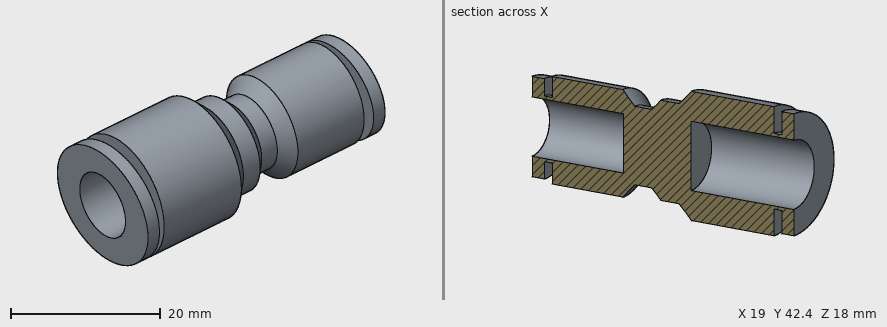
import cadquery as cq

length = 42.4

large_body_dia = 18.0
large_neck_dia = 10.6
step_dia = 14.0
waist_dia = 11.0
small_body_dia = 15.0
small_neck_dia = 9.2
large_bore_dia = 9.6
small_bore_dia = 8.2

large_collar_width = 19.0
large_collar_height = 17.0
small_collar_width = 16.03
small_collar_height = 14.0

collar_thickness = 2.0
neck_length = 1.25
large_body_length = 13.4
step_length = 2.93
waist_length = 2.7
small_body_length = 11.5

large_cone_length = (large_body_dia - step_dia) / 2
step_cone_length = (step_dia - waist_dia) / 2

large_bore_depth = collar_thickness + neck_length + large_body_length
small_bore_depth = collar_thickness + neck_length + small_body_length

large_body_start = collar_thickness + neck_length
large_body_end = large_body_start + large_body_length
step_start = large_body_end + large_cone_length
step_end = step_start + step_length
waist_start = step_end + step_cone_length
waist_end = waist_start + waist_length
small_body_end = length - collar_thickness - neck_length
small_body_start = small_body_end - small_body_length


def plane_at(y):
    """Plane across the axis at station y, facing +Y."""
    return cq.Workplane(cq.Plane(origin=(0, y, 0), xDir=(1, 0, 0), normal=(0, 1, 0)))


def make_turned_body():
    """Revolve the necks, bodies, cones and waist about the Y axis."""
    stations = [
        (large_neck_dia, collar_thickness),
        (large_neck_dia, large_body_start),
        (large_body_dia, large_body_start),
        (large_body_dia, large_body_end),
        (step_dia, step_start),
        (step_dia, step_end),
        (waist_dia, waist_start),
        (waist_dia, waist_end),
        (small_body_dia, small_body_start),
        (small_body_dia, small_body_end),
        (small_neck_dia, small_body_end),
        (small_neck_dia, length - collar_thickness),
    ]
    outline = [(0, collar_thickness)]
    outline += [(diameter / 2, y) for diameter, y in stations]
    outline += [(0, length - collar_thickness)]
    return cq.Workplane("XY").polyline(outline).close().revolve(360, (0, 0, 0), (0, 1, 0))


def make_collar(width, height, y):
    """Elliptical collar whose front face lies at station y."""
    return plane_at(y).ellipse(width / 2, height / 2).extrude(collar_thickness)


def make_bore(diameter, depth, y):
    """Cylinder to cut, reaching from station y towards +Y."""
    return plane_at(y).circle(diameter / 2).extrude(depth)


result = (
    make_turned_body()
    .union(make_collar(large_collar_width, large_collar_height, 0))
    .union(make_collar(small_collar_width, small_collar_height, length - collar_thickness))
    .cut(make_bore(large_bore_dia, large_bore_depth, 0))
    .cut(make_bore(small_bore_dia, small_bore_depth, length - small_bore_depth))
    .translate((0, -length / 2, 0))
)